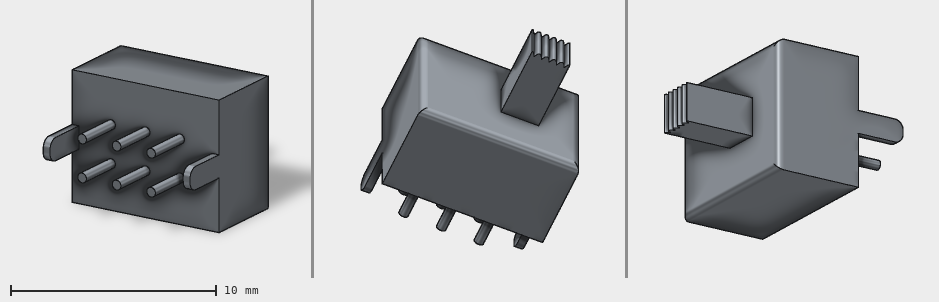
import cadquery as cq
import math


overall_depth = 11.1

housing_width = 8.5
housing_depth = 4.7
housing_height = 6.8
front_rounding = 0.4

lever_length = 3.81
lever_width = 2.0
lever_height = 2.0
lever_offset = -1.0
groove_count = 5
groove_pitch = lever_width / groove_count
crest_radius = 0.11
flank_angle = math.radians(60)

leg_length = overall_depth - housing_depth - lever_length
tab_thickness = 0.4
tab_height = 1.2
tab_corner_radius = 0.5
pin_diameter = 0.5
pin_pitch = 2.0
pin_columns = 3
pin_rows = 2

lever_tip = housing_depth + lever_length


def make_block():
    block = cq.Workplane("XY").box(
        housing_width, housing_depth, housing_height, centered=(True, False, True)
    )
    return block.faces(">Y").edges().fillet(front_rounding)


def make_lever():
    """Lever whose end has V grooves between rounded crests."""
    half_pitch = groove_pitch / 2
    crest_half_width = crest_radius * math.sin(flank_angle)
    flank_top = lever_tip - crest_radius * (1 - math.cos(flank_angle))
    valley = flank_top - (half_pitch - crest_half_width) * math.tan(flank_angle)
    arc_mid_x = crest_radius * math.sin(flank_angle / 2)
    arc_mid_y = lever_tip - crest_radius * (1 - math.cos(flank_angle / 2))
    left = lever_offset - lever_width / 2
    right = left + lever_width

    outline = cq.Workplane("XY").moveTo(left, housing_depth).lineTo(left, lever_tip)
    for groove in range(groove_count):
        crest = left + groove * groove_pitch
        next_crest = crest + groove_pitch
        outline = (
            outline
            .threePointArc((crest + arc_mid_x, arc_mid_y), (crest + crest_half_width, flank_top))
            .lineTo(crest + half_pitch, valley)
            .lineTo(next_crest - crest_half_width, flank_top)
            .threePointArc((next_crest - arc_mid_x, arc_mid_y), (next_crest, lever_tip))
        )
    outline = outline.lineTo(right, housing_depth).close()
    return outline.extrude(lever_height / 2, both=True)


def make_tab(side):
    """Mounting tab flush with one end of the housing; side is -1 or 1."""
    center_x = side * (housing_width - tab_thickness) / 2
    tab = cq.Workplane("XY").box(tab_thickness, leg_length, tab_height)
    tab = tab.faces("<Y").edges("|X").fillet(tab_corner_radius)
    return tab.translate((center_x, -leg_length / 2, 0))


def make_housing():
    """Housing in one piece with its lever and both mounting tabs."""
    housing = make_block().union(make_lever())
    for side in (-1, 1):
        housing = housing.union(make_tab(side))
    return housing


def make_pin(x, z):
    """Round pin standing on the pin face of the housing."""
    pin = cq.Workplane("XZ").circle(pin_diameter / 2).extrude(leg_length)
    return pin.translate((x, 0, z))


housing = make_housing()

pins = []
for column in range(pin_columns):
    for row in range(pin_rows):
        pin_x = (column - (pin_columns - 1) / 2) * pin_pitch
        pin_z = (row - (pin_rows - 1) / 2) * pin_pitch
        pins.append(make_pin(pin_x, pin_z).val())

result = cq.Compound.makeCompound([*housing.solids().vals(), *pins])